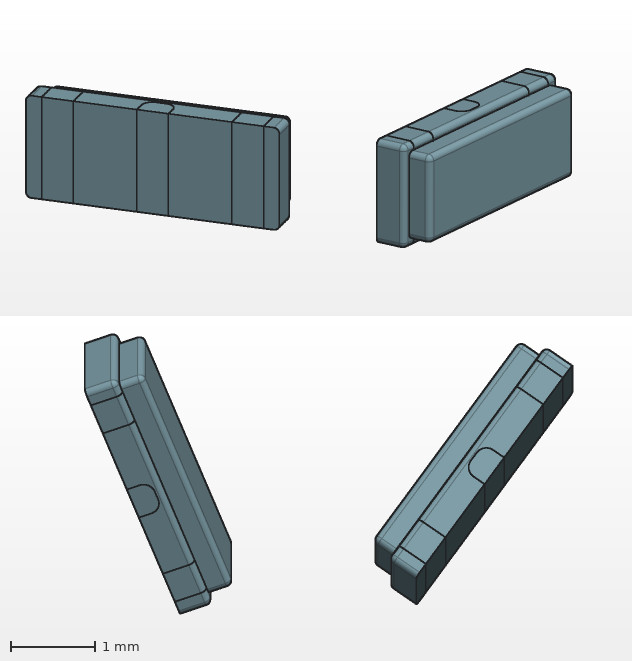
import cadquery as cq

BASE_LENGTH = 3.2
BASE_HEIGHT = 1.3
BASE_DEPTH = 0.4
LID_MARGIN = 0.1
LID_DEPTH = 0.3
EDGE_RADIUS = 0.075

TERMINAL_WIDTH = 0.4
END_TERMINAL_OFFSET = 1.2
CENTRE_TERMINAL_DEPTH = 0.3
CENTRE_TERMINAL_RADIUS = 0.14


def rounded_block(length, depth, height, front_y):
    """Block centred in X and Z, with all but its front edges rounded."""
    return (
        cq.Workplane("XY")
        .box(length, depth, height, centered=(True, False, True))
        .edges("|Y or >Y")
        .fillet(EDGE_RADIUS)
        .translate((0, front_y, 0))
    )


def make_end_terminal(base, x):
    """Slice through the whole base section, with the base's rounded edges."""
    slab = (
        cq.Workplane("XY")
        .box(TERMINAL_WIDTH, BASE_DEPTH, BASE_HEIGHT, centered=(True, False, True))
        .translate((x, 0, 0))
    )
    return base.intersect(slab)


def make_centre_terminal():
    """Bar along the full height, with its two inner edges rounded."""
    return (
        cq.Workplane("XY")
        .box(TERMINAL_WIDTH, CENTRE_TERMINAL_DEPTH, BASE_HEIGHT, centered=(True, False, True))
        .edges("|Z and >Y")
        .fillet(CENTRE_TERMINAL_RADIUS)
    )


def make_housing(base, terminals):
    """Base and raised lid in one piece, with the terminals' places cut out."""
    lid = rounded_block(
        BASE_LENGTH - 2 * LID_MARGIN,
        LID_DEPTH,
        BASE_HEIGHT - 2 * LID_MARGIN,
        BASE_DEPTH,
    )
    housing = base.union(lid)
    for terminal in terminals:
        housing = housing.cut(terminal)
    return housing


base_block = rounded_block(BASE_LENGTH, BASE_DEPTH, BASE_HEIGHT, 0)

end_terminals = []
for side in (-1, 1):
    end_terminals.append(make_end_terminal(base_block, side * END_TERMINAL_OFFSET))

centre_terminal = make_centre_terminal()
housing = make_housing(base_block, [*end_terminals, centre_terminal])

result = cq.Compound.makeCompound(
    [housing.val(), centre_terminal.val(), *[terminal.val() for terminal in end_terminals]]
)